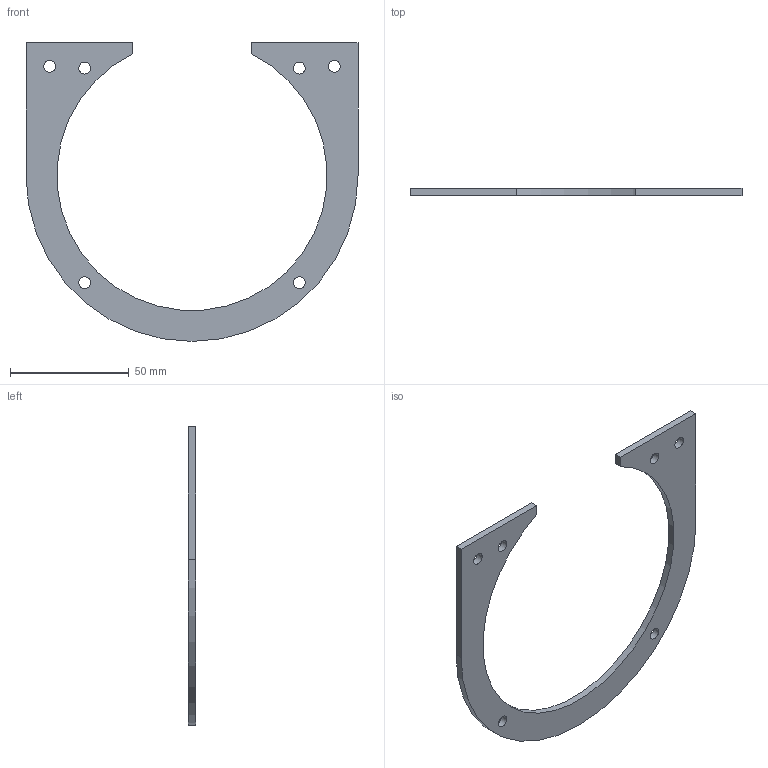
import cadquery as cq
import math

thickness = 3.0
outer_radius = 70.0
bore_radius = 57.0
top_height = 56.0
gap_width = 50.0
hole_diameter = 5.0
ring_hole_radius = 64.0
ring_hole_angle = 45.0
corner_hole_inset = 10.0


def back_plane():
    """XZ workplane on the rear (+Y) face; extrusions from it run toward -Y."""
    return cq.Workplane("XZ", origin=(0, thickness / 2, 0))


def plate_blank():
    """U-shaped plate: straight sides and top, half-round bottom."""
    return (
        back_plane()
        .moveTo(-outer_radius, top_height)
        .lineTo(-outer_radius, 0)
        .threePointArc((0, -outer_radius), (outer_radius, 0))
        .lineTo(outer_radius, top_height)
        .close()
        .extrude(thickness)
    )


def bore_cutter():
    """Large round opening concentric with the half-round bottom."""
    return back_plane().circle(bore_radius).extrude(thickness)


def gap_cutter():
    """Rectangular opening from the ring centre up through the top edge."""
    return (
        back_plane()
        .center(0, top_height / 2)
        .rect(gap_width, top_height)
        .extrude(thickness)
    )


def hole_cutters():
    """Four ring holes and two corner holes, mirrored about the YZ plane."""
    ring_offset_x = ring_hole_radius * math.cos(math.radians(ring_hole_angle))
    ring_offset_z = ring_hole_radius * math.sin(math.radians(ring_hole_angle))
    corner_x = outer_radius - corner_hole_inset
    corner_z = top_height - corner_hole_inset

    centers = []
    for side in (-1, 1):
        centers.append((side * ring_offset_x, ring_offset_z))
        centers.append((side * ring_offset_x, -ring_offset_z))
        centers.append((side * corner_x, corner_z))

    return (
        back_plane()
        .pushPoints(centers)
        .circle(hole_diameter / 2)
        .extrude(thickness)
    )


result = plate_blank().cut(bore_cutter()).cut(gap_cutter()).cut(hole_cutters())